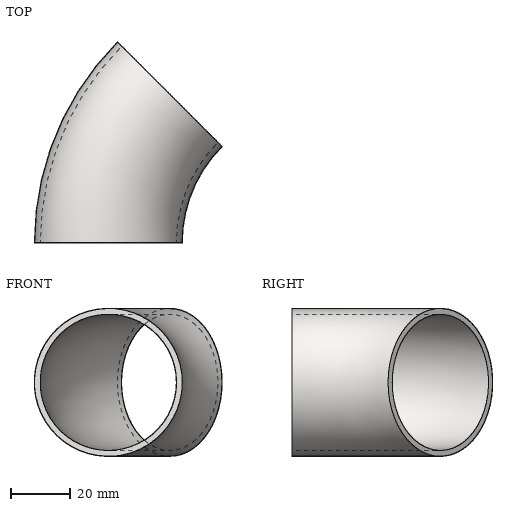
import cadquery as cq
import math

overall_length = 67.9
outer_diameter = 50.0
inner_diameter = 46.0
bend_angle = 45.0

outside_bend_radius = overall_length / math.sin(math.radians(bend_angle))
bend_radius = outside_bend_radius - outer_diameter / 2

bend_axis_start = (bend_radius, 0.7, 0)
bend_axis_end = (bend_radius, 0, 0)

result = (
    cq.Workplane("XZ")
    .circle(outer_diameter / 2)
    .circle(inner_diameter / 2)
    .revolve(bend_angle, bend_axis_start, bend_axis_end)
)